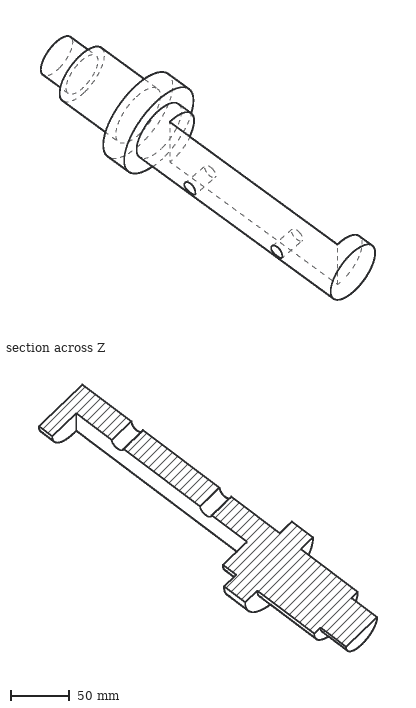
import cadquery as cq

total_length = 341.8
journal_length = 29.0
collar_start = 93.5
collar_width = 24.3

journal_diameter = 40.0
shaft_diameter = 56.0
collar_diameter = 87.0

collar_to_cutaway = 15.0
end_lug_width = 15.5
cutaway_floor_y = -2.7

hole_diameter = 13.0
hole_spacing = 100.0
first_hole_x = 179.5


def cylinder_along_x(start, length, diameter):
    return cq.Workplane("YZ", origin=(start, 0, 0)).circle(diameter / 2).extrude(length)


def cross_hole(x):
    return (
        cq.Workplane("XZ", origin=(x, collar_diameter / 2, 0))
        .circle(hole_diameter / 2)
        .extrude(collar_diameter)
    )


journal = cylinder_along_x(0, journal_length, journal_diameter)
shaft = cylinder_along_x(journal_length, total_length - journal_length, shaft_diameter)
collar = cylinder_along_x(collar_start, collar_width, collar_diameter)
body = shaft.union(journal).union(collar)

cutaway_start = collar_start + collar_width + collar_to_cutaway
cutaway_length = total_length - end_lug_width - cutaway_start
cutaway = (
    cq.Workplane("XY", origin=(cutaway_start, cutaway_floor_y, 0))
    .box(cutaway_length, shaft_diameter, collar_diameter, centered=(False, False, True))
)
body = body.cut(cutaway)

for hole_x in (first_hole_x, first_hole_x + hole_spacing):
    body = body.cut(cross_hole(hole_x))

result = body